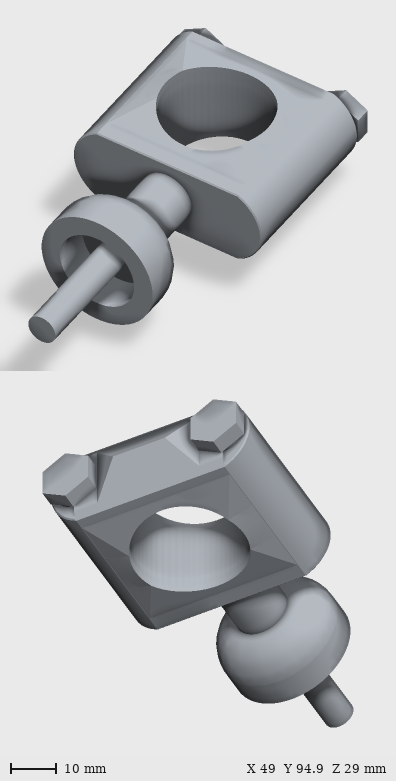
import cadquery as cq
import math


block_half_width = 24.51
block_half_height = 9.6
block_flat_half_width = 18.35
block_front_y = -20.1
block_back_y = 18.95
end_chamfer = 0.3
pipe_hole_radius = 13.33

pad_height = 11.57
pad_base_half_x = 18.2
pad_base_half_y = 16.0
pad_crest_half_y = 5.2

ridge_base_y = 18.65
ridge_tip_y = 24.1
ridge_tip_half_width = 6.4
ridge_shoulder_y = 19.75
ridge_shoulder_half_width = 12.6

bolt_x = 18.3
bolt_across_flats = 11.25
bolt_head_bottom_y = 20.1
bolt_head_top_y = 23.95
washer_radius = 5.1

stem_radius = 6.4
bell_radius = 14.48
bell_top_y = -34.1
bell_bottom_y = -48.4
bell_round_radius = bell_radius - stem_radius
bell_bore_radius = 9.65
bell_bore_depth = 9.0
pin_radius = 3.55
pin_end_y = -70.75

overlap = 1.0


def cylinder_y(radius, y_start, y_end):
    """Cylinder about the Y axis."""
    length = y_end - y_start
    return cq.Workplane("XZ", origin=(0, y_start, 0)).circle(radius).extrude(-length)


def make_block():
    """Flat-sided block with arc edges and a small chamfer at both ends."""
    length = block_back_y - block_front_y
    return (
        cq.Workplane("XZ", origin=(0, block_front_y, 0))
        .moveTo(-block_flat_half_width, block_half_height)
        .lineTo(block_flat_half_width, block_half_height)
        .threePointArc((block_half_width, 0), (block_flat_half_width, -block_half_height))
        .lineTo(-block_flat_half_width, -block_half_height)
        .threePointArc((-block_half_width, 0), (-block_flat_half_width, block_half_height))
        .close()
        .extrude(-length)
        .faces("<Y or >Y")
        .chamfer(end_chamfer)
    )


def make_pad():
    """Four-sided pad whose sides run up to a level crest along the hole rim."""
    rim_x = math.sqrt(pipe_hole_radius**2 - pad_crest_half_y**2)
    slopes = (
        cq.Workplane("XY", origin=(0, 0, block_half_height))
        .rect(2 * pad_base_half_x, 2 * pad_base_half_y)
        .workplane(offset=pad_height - block_half_height)
        .rect(2 * rim_x, 2 * pad_crest_half_y)
        .loft(ruled=True)
    )
    middle_angle = math.asin(pad_crest_half_y / pipe_hole_radius) / 2
    middle_x = pipe_hole_radius * math.cos(middle_angle)
    middle_y = pipe_hole_radius * math.sin(middle_angle)
    half_crest = (
        cq.Workplane("XY", origin=(0, 0, block_half_height))
        .moveTo(-pad_base_half_x, 0)
        .lineTo(pad_base_half_x, 0)
        .lineTo(pad_base_half_x, pad_crest_half_y)
        .lineTo(-pad_base_half_x, pad_crest_half_y)
        .close()
        .workplane(offset=pad_height - block_half_height)
        .moveTo(-pipe_hole_radius, 0)
        .lineTo(pipe_hole_radius, 0)
        .threePointArc((middle_x, middle_y), (rim_x, pad_crest_half_y))
        .lineTo(-rim_x, pad_crest_half_y)
        .threePointArc((-middle_x, middle_y), (-pipe_hole_radius, 0))
        .close()
        .loft(ruled=True)
    )
    return slopes.union(half_crest).union(half_crest.mirror("XZ"))


def make_roof():
    """Prism with two sloping back faces that meet at the tip of the ridge."""
    return (
        cq.Workplane("YZ", origin=(-block_half_width, 0, 0))
        .moveTo(block_front_y, -block_half_height)
        .lineTo(ridge_base_y, -block_half_height)
        .lineTo(ridge_tip_y, 0)
        .lineTo(ridge_base_y, block_half_height)
        .lineTo(block_front_y, block_half_height)
        .close()
        .extrude(2 * block_half_width)
    )


def make_ridge_outline():
    """Column with the plan shape of the ridge: shoulders and a narrow tip."""
    start_y = ridge_base_y - overlap
    return (
        cq.Workplane("XY", origin=(0, 0, -block_half_height))
        .moveTo(-block_flat_half_width, start_y)
        .lineTo(block_flat_half_width, start_y)
        .lineTo(block_flat_half_width, ridge_shoulder_y)
        .lineTo(ridge_shoulder_half_width, ridge_shoulder_y)
        .lineTo(ridge_tip_half_width, ridge_tip_y)
        .lineTo(-ridge_tip_half_width, ridge_tip_y)
        .lineTo(-ridge_shoulder_half_width, ridge_shoulder_y)
        .lineTo(-block_flat_half_width, ridge_shoulder_y)
        .close()
        .extrude(2 * block_half_height)
    )


def make_bolt(x):
    """Hexagon head with corners up and down, standing on a round washer."""
    across_corners = bolt_across_flats / math.cos(math.radians(30))
    head = (
        cq.Workplane("XZ", origin=(x, bolt_head_bottom_y, 0))
        .transformed(rotate=(0, 0, 90))
        .polygon(6, across_corners)
        .extrude(bolt_head_bottom_y - bolt_head_top_y)
    )
    washer = cylinder_y(washer_radius, block_back_y - overlap, bolt_head_bottom_y)
    return head.union(washer.translate((x, 0, 0)))


def make_stem():
    """Stem carrying a hollow, rounded bell with a pin through its middle."""
    stem_start_y = -pipe_hole_radius - overlap
    round_end_y = bell_top_y - bell_round_radius
    bore_floor_y = bell_bottom_y + bell_bore_depth
    round_offset = bell_round_radius * math.sin(math.radians(45))
    return (
        cq.Workplane("XY")
        .moveTo(0, stem_start_y)
        .lineTo(stem_radius, stem_start_y)
        .lineTo(stem_radius, bell_top_y)
        .threePointArc(
            (stem_radius + round_offset, round_end_y + round_offset),
            (bell_radius, round_end_y),
        )
        .lineTo(bell_radius, bell_bottom_y)
        .lineTo(bell_bore_radius, bell_bottom_y)
        .lineTo(bell_bore_radius, bore_floor_y)
        .lineTo(pin_radius, bore_floor_y)
        .lineTo(pin_radius, pin_end_y)
        .lineTo(0, pin_end_y)
        .close()
        .revolve(360, (0, 0, 0), (0, 1, 0))
    )


pad = make_pad()
body = make_block().union(make_ridge_outline()).intersect(make_roof())
body = body.union(pad).union(pad.mirror("XY"))
for side in (-1, 1):
    body = body.union(make_bolt(side * bolt_x))
body = body.union(make_stem())

pipe_hole = (
    cq.Workplane("XY", origin=(0, 0, -pad_height))
    .circle(pipe_hole_radius)
    .extrude(2 * pad_height)
)
result = body.cut(pipe_hole)